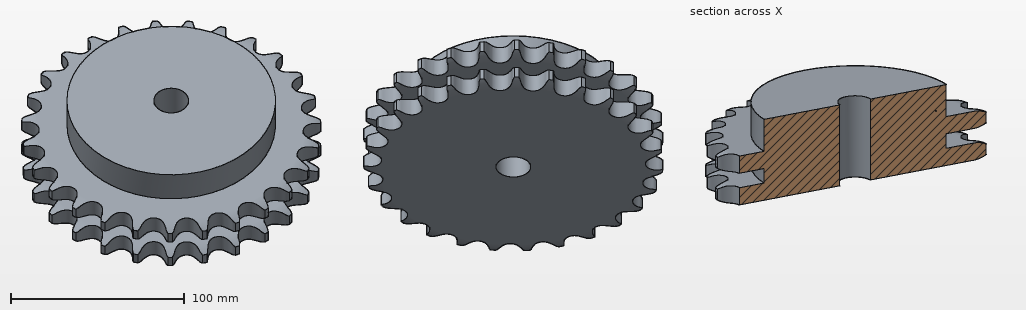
import cadquery as cq
import math

tooth_count = 27
overall_width = 172.1
hub_diameter = 120.0
bore_diameter = 20.0
total_height = 50.0

pitch_diameter = 164.2
roller_diameter = 12.0
strand_spacing = 19.5

disc_thickness = 10.8
flat_face_radius = 77.8
tip_relief = 2.0
tip_half_width = 1.25

seat_radius = roller_diameter / 2
seat_half_angle = math.radians(52)
working_radius = 15.7
working_angle = math.radians(20)
topping_radius = 6.9
topping_angle = math.radians(30)
gap_overrun = 5.2

pitch_angle = 360 / tooth_count
pitch_radius = pitch_diameter / 2

tooth_lean = math.radians(pitch_angle / 4)
tip_corner_reach = (overall_width / 2 - tip_half_width * math.sin(tooth_lean)) / math.cos(tooth_lean)
outer_radius = math.hypot(tip_corner_reach, tip_half_width)


def point_on_arc(center, radius, heading, side):
    """Point where an arc runs along heading; side is 1 for a left turn, -1 for a right turn."""
    return (
        center[0] + side * radius * math.sin(heading),
        center[1] - side * radius * math.cos(heading),
    )


def arc_center(point, radius, heading, side):
    """Center of the arc that leaves point along heading."""
    return point_on_arc(point, radius, heading, -side)


def mirrored(point):
    return (-point[0], point[1])


def blank_disc():
    """Disc with rounded tooth sides, before the gaps are cut."""
    run = outer_radius - flat_face_radius
    side_radius = (run**2 + tip_relief**2) / (2 * tip_relief)
    mid_run = run / 2
    mid_drop = side_radius - math.sqrt(side_radius**2 - mid_run**2)
    mid_radius = flat_face_radius + mid_run
    return (
        cq.Workplane("XZ")
        .moveTo(0, 0)
        .lineTo(flat_face_radius, 0)
        .threePointArc((mid_radius, mid_drop), (outer_radius, tip_relief))
        .lineTo(outer_radius, disc_thickness - tip_relief)
        .threePointArc((mid_radius, disc_thickness - mid_drop), (flat_face_radius, disc_thickness))
        .lineTo(0, disc_thickness)
        .close()
        .revolve(360, (0, 0, 0), (0, 1, 0))
    )


def gap_cutter():
    """Tooth gap centered on +Y, open past the outer edge."""
    seat_center = (0, pitch_radius)
    floor = (0, pitch_radius - seat_radius)
    seat_end = point_on_arc(seat_center, seat_radius, seat_half_angle, 1)

    steepest = seat_half_angle + working_angle
    working_center = arc_center(seat_end, working_radius, seat_half_angle, 1)
    working_mid = point_on_arc(working_center, working_radius, seat_half_angle + working_angle / 2, 1)
    working_end = point_on_arc(working_center, working_radius, steepest, 1)

    topping_center = arc_center(working_end, topping_radius, steepest, -1)
    topping_mid = point_on_arc(topping_center, topping_radius, steepest - topping_angle / 2, -1)
    topping_end = point_on_arc(topping_center, topping_radius, steepest - topping_angle, -1)

    open_end = (topping_end[0], outer_radius + gap_overrun)
    return (
        cq.Workplane("XY")
        .moveTo(*mirrored(seat_end))
        .threePointArc(floor, seat_end)
        .threePointArc(working_mid, working_end)
        .threePointArc(topping_mid, topping_end)
        .lineTo(*open_end)
        .lineTo(*mirrored(open_end))
        .lineTo(*mirrored(topping_end))
        .threePointArc(mirrored(topping_mid), mirrored(working_end))
        .threePointArc(mirrored(working_mid), mirrored(seat_end))
        .close()
        .extrude(disc_thickness)
    )


def toothed_disc():
    disc = blank_disc()
    gap = gap_cutter()
    for index in range(tooth_count):
        disc = disc.cut(gap.rotate((0, 0, 0), (0, 0, 1), index * pitch_angle))
    return disc


lower_disc = toothed_disc()
upper_disc = lower_disc.translate((0, 0, strand_spacing))
hub = cq.Workplane("XY").circle(hub_diameter / 2).extrude(total_height)
bore = cq.Workplane("XY").circle(bore_diameter / 2).extrude(total_height)

result = hub.union(lower_disc).union(upper_disc).cut(bore)